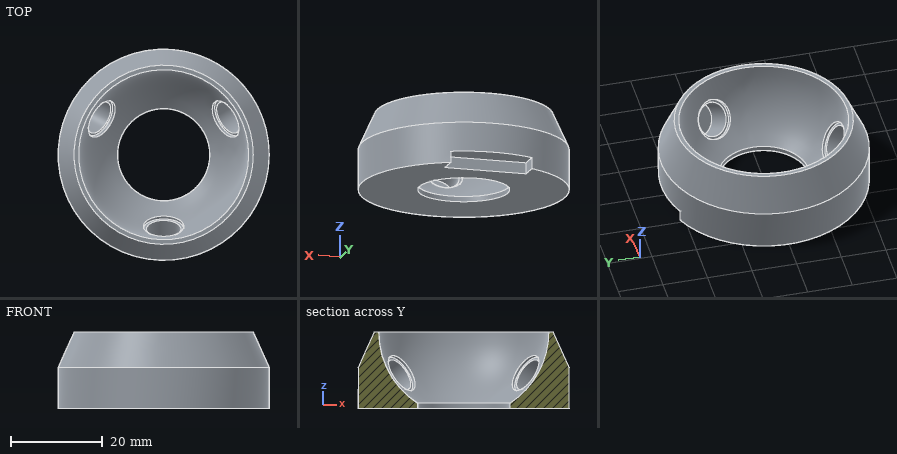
import cadquery as cq

height = 16.75
base_radius = 23.0
base_height = 9.0
rim_radius = 19.5

bowl_radius = 18.5
opening_diameter = 20.0

pocket_angles = (30, 150, 270)
pocket_tilt = 30
pocket_diameter = 7.5
pocket_end = 23.9
recess_diameter = 8.8
recess_end = 18.68

notch_width = 18.4
notch_height = 2.5
notch_inner_y = 16.55


def make_body():
    """Cylindrical base that tapers up to the bowl rim."""
    profile = (
        cq.Workplane("XZ")
        .lineTo(base_radius, 0)
        .lineTo(base_radius, base_height)
        .lineTo(rim_radius, height)
        .lineTo(0, height)
        .close()
    )
    return profile.revolve(360, (0, 0, 0), (0, 1, 0))


def make_bowl():
    """Spherical hollow together with the opening through the floor."""
    sphere = cq.Workplane("XY").sphere(bowl_radius).translate((0, 0, height))
    opening = cq.Workplane("XY").circle(opening_diameter / 2).extrude(height)
    return sphere.union(opening)


def make_pocket(angle):
    """Stepped round cutter starting at the bowl centre, turned to the given angle about Z."""
    hole = cq.Workplane("YZ").circle(pocket_diameter / 2).extrude(pocket_end)
    recess = cq.Workplane("YZ").circle(recess_diameter / 2).extrude(recess_end)
    cutter = hole.union(recess).rotate((0, 0, 0), (0, 1, 0), pocket_tilt)
    return cutter.rotate((0, 0, 0), (0, 0, 1), angle).translate((0, 0, height))


def make_notch():
    """Block open to the +Y side and to the underside."""
    length = base_radius - notch_inner_y
    block = cq.Workplane("XY").box(notch_width, length, notch_height, centered=(True, False, False))
    return block.translate((0, notch_inner_y, 0))


result = make_body().cut(make_bowl())
for angle in pocket_angles:
    result = result.cut(make_pocket(angle))
result = result.cut(make_notch())